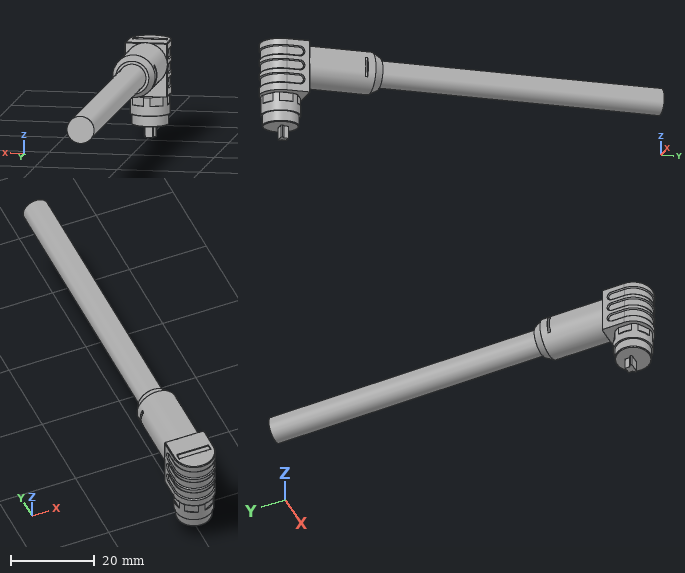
import cadquery as cq
import math


total_length = 100.3
total_height = 23.8
head_width = 10.3
head_radius = head_width / 2

head_height = 13
head_back = 5.8
head_top = head_radius
head_bottom = head_top - head_height
head_chamfer = 0.2

groove_count = 3
groove_pitch = 3.5
groove_width = 2.5
groove_depth = 0.3
groove_wall_angle = 40
groove_end = 4.4
first_groove_z = 2.2

recess_length = 8.2
recess_width = 1.5
recess_depth = 0.3

sleeve_radius = head_radius
sleeve_end = 24.4
cone_length = 2.1
cone_end_radius = 4
notch_y = 20.1
notch_width = 0.6
notch_depth = 0.6

cable_diameter = 6.6
cable_end = total_length - head_radius

neck_radius = 3.3
neck_length = 0.5
ring_radius = 4.8
ring_length = 4.5
flat_count = 6
flat_distance = 4.5
flat_length = 2.1
nose_radius = 4.4
nose_length = 2.7
nose_chamfer = 0.2
ring_top = head_bottom - neck_length
ring_bottom = ring_top - ring_length
nose_bottom = ring_bottom - nose_length
key_bottom = head_top - total_height
key_half_width = 1.5
key_stem_half_width = 0.9
key_front = -0.3
key_back = 1.7
key_corner = 0.3


def head_block():
    """Block with flat sides, a half-round front and bevelled top and back edges."""
    block = (
        cq.Workplane("XY", origin=(0, 0, head_bottom))
        .moveTo(-head_radius, head_back)
        .lineTo(-head_radius, 0)
        .threePointArc((0, -head_radius), (head_radius, 0))
        .lineTo(head_radius, head_back)
        .close()
        .extrude(head_height)
    )
    block = block.faces(">Y").edges("|Z").chamfer(head_chamfer)
    return block.faces(">Z").edges().chamfer(head_chamfer)


def side_groove(z, side):
    """Groove on one flat side (side is -1 or 1), with a round end and sloping walls."""
    front_end = -groove_width / 2
    length = groove_end - front_end
    plane = cq.Plane(
        origin=(side * head_radius, (groove_end + front_end) / 2, z),
        xDir=(0, 1, 0),
        normal=(-side, 0, 0),
    )
    return (
        cq.Workplane(plane)
        .slot2D(length, groove_width)
        .extrude(groove_depth, taper=groove_wall_angle)
    )


def front_groove(z):
    """Groove around the half-round front, with sloping walls."""
    half_width = groove_width / 2
    slope = groove_depth * math.tan(math.radians(groove_wall_angle))
    floor_radius = head_radius - groove_depth
    return (
        cq.Workplane("XZ")
        .moveTo(-head_radius, z + half_width)
        .lineTo(-floor_radius, z + half_width - slope)
        .lineTo(-floor_radius, z - half_width + slope)
        .lineTo(-head_radius, z - half_width)
        .close()
        .revolve(180, (0, 0, 0), (0, 1, 0))
    )


def make_sleeve():
    """Round sleeve with a conical end and a notch on each side."""
    sleeve = (
        cq.Workplane("YZ")
        .moveTo(head_back - head_chamfer, 0)
        .lineTo(head_back - head_chamfer, sleeve_radius)
        .lineTo(sleeve_end - cone_length, sleeve_radius)
        .lineTo(sleeve_end, cone_end_radius)
        .lineTo(sleeve_end, 0)
        .close()
        .revolve(360, (0, 0, 0), (1, 0, 0))
    )
    for side in (-1, 1):
        notch = cq.Workplane("XY").box(2 * notch_depth, notch_width, 2 * sleeve_radius)
        sleeve = sleeve.cut(notch.translate((side * sleeve_radius, notch_y, 0)))
    return sleeve


def make_housing():
    """Grooved head and cable sleeve in one piece."""
    head = head_block()
    for index in range(groove_count):
        z = first_groove_z - index * groove_pitch
        head = head.cut(front_groove(z))
        for side in (-1, 1):
            head = head.cut(side_groove(z, side))
    recess = (
        cq.Workplane("XY", origin=(0, 0, head_top))
        .rect(recess_length, recess_width)
        .extrude(-recess_depth)
    )
    return head.cut(recess).union(make_sleeve())


def make_cable():
    """Round cable that starts at the end face of the sleeve."""
    return (
        cq.Workplane("XZ", origin=(0, sleeve_end, 0))
        .circle(cable_diameter / 2)
        .extrude(sleeve_end - cable_end)
    )


def make_key():
    """Coding key: a wide front bar that narrows to a stem at the back."""
    bar_back = key_front + key_corner
    stem_front = bar_back + key_half_width - key_stem_half_width
    return (
        cq.Workplane("XY", origin=(0, 0, key_bottom))
        .moveTo(0, key_front)
        .lineTo(key_half_width - key_corner, key_front)
        .lineTo(key_half_width, bar_back)
        .lineTo(key_stem_half_width, stem_front)
        .lineTo(key_stem_half_width, key_back)
        .lineTo(0, key_back)
        .mirrorY()
        .extrude(nose_bottom - key_bottom)
    )


def make_plug():
    """Neck, ring with wrench flats, nose and coding key in one piece."""
    neck = (
        cq.Workplane("XY", origin=(0, 0, head_bottom))
        .circle(neck_radius)
        .extrude(-neck_length)
    )
    ring = (
        cq.Workplane("XY", origin=(0, 0, ring_top))
        .circle(ring_radius)
        .extrude(-ring_length)
    )
    flat_cutter = cq.Workplane("XY").box(
        ring_radius, 2 * ring_radius, flat_length, centered=(False, True, False)
    ).translate((flat_distance, 0, ring_top - flat_length))
    for index in range(flat_count):
        angle = index * 360 / flat_count
        ring = ring.cut(flat_cutter.rotate((0, 0, 0), (0, 0, 1), angle))
    nose = (
        cq.Workplane("XY", origin=(0, 0, ring_bottom))
        .circle(nose_radius)
        .extrude(-nose_length)
        .faces("<Z")
        .chamfer(nose_chamfer)
    )
    return neck.union(ring).union(nose).union(make_key())


housing = make_housing()
cable = make_cable()
plug = make_plug()

result = cq.Compound.makeCompound([housing.val(), cable.val(), plug.val()])